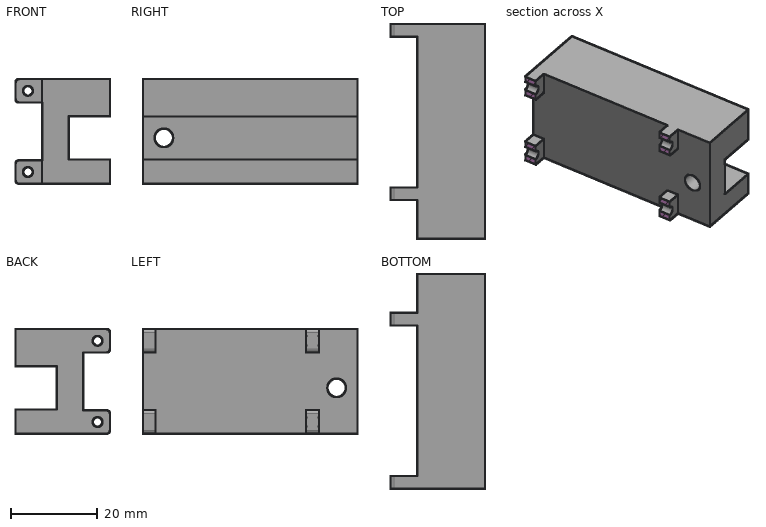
import cadquery as cq

width = 22.0
length = 49.95
height = 24.4

tab_reach = 6.2
tab_height = 5.5
tab_thickness = 3.0
tab_pitch = 37.95
tab_corner_radius = 0.8
tab_hole_diameter = 2.2
tab_hole_from_tip = 2.9
tab_hole_from_edge = 2.75

channel_depth = 9.6
channel_height = 10.0
channel_floor = 5.7

wall_hole_diameter = 4.25
wall_hole_from_end = 4.9

body_width = width - tab_reach
channel_middle = channel_floor + channel_height / 2
rear_tab_start = length - tab_thickness
tab_starts = (rear_tab_start, rear_tab_start - tab_pitch)


def make_body():
    """Block with a channel open on the +X side and at both ends."""
    block = cq.Workplane("XY").box(body_width, length, height, centered=False).translate((tab_reach, 0, 0))
    channel = (
        cq.Workplane("XY")
        .box(channel_depth, length, channel_height, centered=False)
        .translate((width - channel_depth, 0, channel_floor))
    )
    return block.cut(channel)


def make_tab(start_y, bottom_z, hole_z):
    """Tab with two rounded tip corners and a screw hole along Y."""
    tab = (
        cq.Workplane("XY")
        .box(tab_reach, tab_thickness, tab_height, centered=False)
        .faces("<X")
        .edges("|Y")
        .fillet(tab_corner_radius)
    )
    hole = (
        cq.Workplane("XZ")
        .center(tab_hole_from_tip, hole_z)
        .circle(tab_hole_diameter / 2)
        .extrude(-tab_thickness)
    )
    return tab.cut(hole).translate((0, start_y, bottom_z))


def make_wall_hole():
    """Cutter along X that reaches from the -X face into the channel."""
    return (
        cq.Workplane("YZ", origin=(tab_reach, 0, 0))
        .center(wall_hole_from_end, channel_middle)
        .circle(wall_hole_diameter / 2)
        .extrude(body_width - channel_depth)
    )


result = make_body().cut(make_wall_hole())
for start_y in tab_starts:
    lower_tab = make_tab(start_y, 0, tab_hole_from_edge)
    upper_tab = make_tab(start_y, height - tab_height, tab_height - tab_hole_from_edge)
    result = result.union(lower_tab).union(upper_tab)